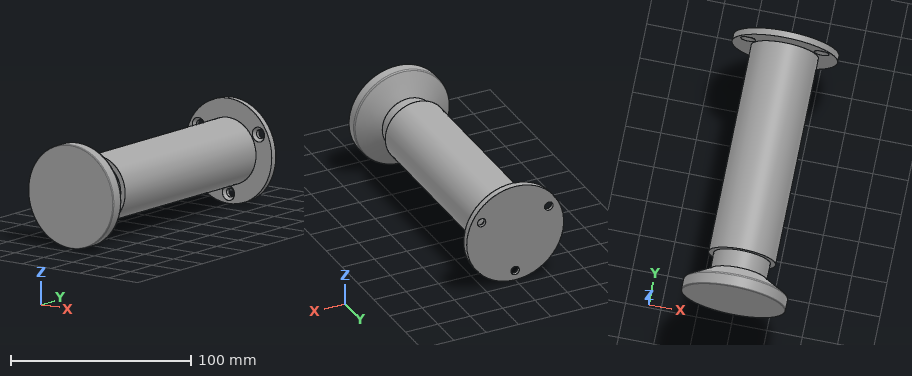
import cadquery as cq

length = 150.0
foot_face_y = -length / 2
flange_back_y = length / 2

flange_radius = 30.0
flange_thickness = 3.9
flange_front_y = flange_back_y - flange_thickness

screw_count = 3
screw_circle_radius = 24.0
screw_hole_diameter = 5.1
screw_head_diameter = 8.4
countersink_angle = 90.0
first_screw_angle = 30.0

tube_radius = 19.0
tube_end_y = foot_face_y + 24.9
neck_radius = 16.0
neck_end_y = foot_face_y + 15.0

foot_radius = 29.5
cone_end_y = foot_face_y + 7.0
sole_edge_fillet = 0.5
rim_fillet = 1.0


def disc(radius, start_y, end_y):
    """Solid cylinder on the Y axis between two positions."""
    plane = cq.Workplane("XZ", origin=(0, start_y, 0))
    return plane.circle(radius).extrude(start_y - end_y)


def make_foot():
    """Revolved foot with a rounded upper rim and a rounded sole edge."""
    foot = (
        cq.Workplane("XY")
        .moveTo(0, foot_face_y)
        .lineTo(foot_radius, foot_face_y)
        .lineTo(foot_radius, cone_end_y)
        .lineTo(neck_radius, neck_end_y)
        .lineTo(0, neck_end_y)
        .close()
        .revolve(360, (0, 0, 0), (0, 1, 0))
    )
    rim_edge = cq.selectors.BoxSelector(
        (-flange_radius, cone_end_y - rim_fillet, -flange_radius),
        (flange_radius, cone_end_y + rim_fillet, flange_radius),
        boundingbox=True,
    )
    foot = foot.edges("%CIRCLE").edges(rim_edge).fillet(rim_fillet)
    return foot.faces("<Y").edges().fillet(sole_edge_fillet)


def make_flange():
    """Round flange with countersinks opening towards the tube."""
    flange = disc(flange_radius, flange_front_y, flange_back_y)
    return (
        flange.copyWorkplane(cq.Workplane("XZ", origin=(0, flange_front_y, 0)))
        .polarArray(screw_circle_radius, first_screw_angle, 360, screw_count)
        .cskHole(screw_hole_diameter, screw_head_diameter, countersink_angle)
    )


tube = disc(tube_radius, tube_end_y, flange_front_y)
neck = disc(neck_radius, neck_end_y, tube_end_y)

result = make_flange().union(tube).union(neck).union(make_foot())